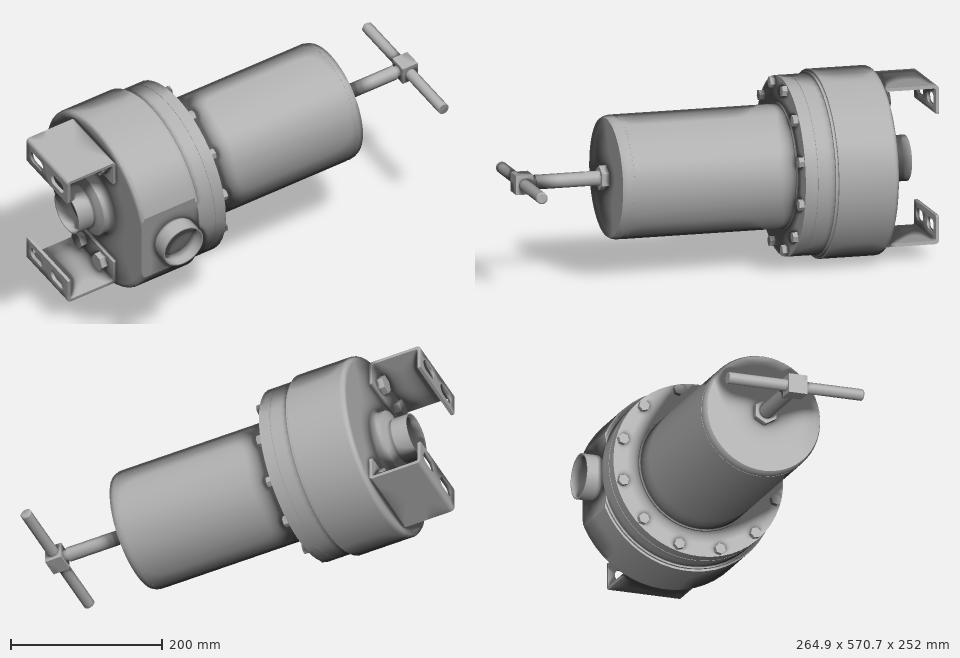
import cadquery as cq
import math


BODY_RADIUS = 126.0
BODY_LENGTH = 83.5
BODY_FRONT_ROUND = 6.5
BODY_FLAT_X = 114.6
LIP_RADIUS = 123.0
LIP_LENGTH = 3.5
FLANGE_RADIUS = 120.3
FLANGE_JOINT_Y = 111.5
FLANGE_JOINT_WIDTH = 1.2
FLANGE_JOINT_DEPTH = 0.5
FLANGE_BACK_Y = 128.0
TUBE_RADIUS = 82.7
TUBE_COLLAR_RADIUS = 85.0
TUBE_COLLAR_LENGTH = 2.6
TUBE_BACK_Y = 367.5
CAP_LENGTH = 10.0
CAP_BACK_RADIUS = 79.7
CAP_GROOVE_WIDTH = 5.0
CAP_GROOVE_DEPTH = 0.3

PORT_RADIUS = 30.7
PORT_BORE_RADIUS = 29.0
PORT_BORE_DEPTH = 22.0
PORT_NECK_RADIUS = 29.7
PORT_NECK_LENGTH = 2.5
FRONT_PORT_TIP_Y = -44.5
SIDE_PORT_TIP_X = 138.9
SIDE_PORT_Y = 50.1
BOSS_RADIUS = 44.5
BOSS_BASE_FILLET = 6.3
BOSS_LENGTH = 14.0
BOSS_CONE_LENGTH = 6.0

SCREW_COUNT = 12
SCREW_CIRCLE_RADIUS = 111.7
SCREW_ACROSS_FLATS = 13.0
SCREW_HEAD_HEIGHT = 7.0

BRACKET_WIDTH = 102.0
BRACKET_DEPTH = 75.6
BRACKET_THICKNESS = 4.5
BRACKET_OUTER_Z = 107.7
BRACKET_INNER_Z = 69.0
BRACKET_OUTER_BEND_RADIUS = 5.5
BRACKET_INNER_BEND_RADIUS = 2.5
BRACKET_CORNER_RADIUS = 2.0
SLOT_LENGTH = 32.0
SLOT_WIDTH = 16.5
SLOT_X = 25.4
SLOT_Z = 85.8
BOLT_ACROSS_FLATS = 22.0
BOLT_HEAD_HEIGHT = 9.0

SPINDLE_RADIUS = 9.8
NUT_ACROSS_FLATS = 29.0
NUT_HEIGHT = 10.0
OVERALL_LENGTH = 570.74
HANDLE_BACK_Y = OVERALL_LENGTH - BRACKET_DEPTH
BLOCK_SIZE = 26.0
BLOCK_LENGTH = 23.5
NECK_RADIUS = 8.0
NECK_LENGTH = 5.5
BAR_RADIUS = 7.8
BAR_LENGTH = 191.0
BAR_CHAMFER = 1.5


def cylinder_y(radius, start_y, end_y):
    """Cylinder on the main axis between two Y positions."""
    return cq.Workplane("XZ", origin=(0, start_y, 0)).circle(radius).extrude(start_y - end_y)


def hexagon_y(across_flats, start_y, end_y, x=0.0, z=0.0, turn=0.0):
    """Hexagonal prism along Y; with no turn, two corners point along X."""
    across_corners = across_flats / math.cos(math.pi / 6)
    prism = cq.Workplane("XZ").polygon(6, across_corners).extrude(start_y - end_y)
    return prism.rotate((0, 0, 0), (0, 1, 0), turn).translate((x, start_y, z))


def make_flange(front_y):
    """Two flange discs that meet at a shallow joint groove."""
    groove_front_y = FLANGE_JOINT_Y - FLANGE_JOINT_WIDTH / 2
    groove_back_y = FLANGE_JOINT_Y + FLANGE_JOINT_WIDTH / 2
    core = cylinder_y(FLANGE_RADIUS - FLANGE_JOINT_DEPTH, front_y, FLANGE_BACK_Y)
    front_disc = cylinder_y(FLANGE_RADIUS, front_y, groove_front_y)
    back_disc = cylinder_y(FLANGE_RADIUS, groove_back_y, FLANGE_BACK_Y)
    return core.union(front_disc).union(back_disc)


def make_body():
    """Round body with a rear lip and a flat at +X, and the flange behind it."""
    body = cylinder_y(BODY_RADIUS, 0, BODY_LENGTH).faces("<Y").edges().fillet(BODY_FRONT_ROUND)
    lip_back_y = BODY_LENGTH + LIP_LENGTH
    body = body.union(cylinder_y(LIP_RADIUS, BODY_LENGTH, lip_back_y))
    cutter = cq.Workplane("XY").box(BODY_RADIUS, lip_back_y, 2 * BODY_RADIUS, centered=(False, False, True))
    body = body.cut(cutter.translate((BODY_FLAT_X, 0, 0)))
    return body.union(make_flange(lip_back_y))


def make_tube():
    """Tube with a low collar at the flange and a round-shouldered cap behind a shallow groove."""
    cap_front_y = TUBE_BACK_Y - CAP_LENGTH
    groove_front_y = cap_front_y - CAP_GROOVE_WIDTH
    collar_back_y = FLANGE_BACK_Y + TUBE_COLLAR_LENGTH
    cap_round_depth = TUBE_RADIUS - CAP_BACK_RADIUS
    cap_round_radius = (CAP_LENGTH**2 + cap_round_depth**2) / (2 * cap_round_depth)
    groove_radius = TUBE_RADIUS - CAP_GROOVE_DEPTH
    profile = (
        cq.Workplane("XY")
        .moveTo(0, FLANGE_BACK_Y)
        .lineTo(TUBE_COLLAR_RADIUS, FLANGE_BACK_Y)
        .lineTo(TUBE_COLLAR_RADIUS, collar_back_y)
        .lineTo(TUBE_RADIUS, collar_back_y)
        .lineTo(TUBE_RADIUS, groove_front_y)
        .lineTo(groove_radius, groove_front_y)
        .lineTo(groove_radius, cap_front_y)
        .lineTo(TUBE_RADIUS, cap_front_y)
        .radiusArc((CAP_BACK_RADIUS, TUBE_BACK_Y), -cap_round_radius)
        .lineTo(0, TUBE_BACK_Y)
        .close()
    )
    return profile.revolve(360, (0, 0, 0), (0, 1, 0))


def make_front_boss():
    """Boss on the front face that tapers to the neck of a blind-bored port tube."""
    cone_end_y = -BOSS_LENGTH - BOSS_CONE_LENGTH
    profile = (
        cq.Workplane("XY")
        .moveTo(0, 0)
        .lineTo(BOSS_RADIUS + BOSS_BASE_FILLET, 0)
        .radiusArc((BOSS_RADIUS, -BOSS_BASE_FILLET), -BOSS_BASE_FILLET)
        .lineTo(BOSS_RADIUS, -BOSS_LENGTH)
        .lineTo(PORT_NECK_RADIUS, cone_end_y)
        .lineTo(PORT_NECK_RADIUS, cone_end_y - PORT_NECK_LENGTH)
        .lineTo(PORT_RADIUS, cone_end_y - PORT_NECK_LENGTH)
        .lineTo(PORT_RADIUS, FRONT_PORT_TIP_Y)
        .lineTo(0, FRONT_PORT_TIP_Y)
        .close()
    )
    boss = profile.revolve(360, (0, 0, 0), (0, 1, 0))
    return boss.cut(cylinder_y(PORT_BORE_RADIUS, FRONT_PORT_TIP_Y, FRONT_PORT_TIP_Y + PORT_BORE_DEPTH))


def make_side_port():
    """Tube on the body flat; a slightly narrower neck sits between the flat and the tube."""
    neck_end_x = BODY_FLAT_X + PORT_NECK_LENGTH
    neck = cq.Workplane("YZ", origin=(BODY_FLAT_X, SIDE_PORT_Y, 0)).circle(PORT_NECK_RADIUS)
    tube = cq.Workplane("YZ", origin=(neck_end_x, SIDE_PORT_Y, 0)).circle(PORT_RADIUS)
    bore = cq.Workplane("YZ", origin=(SIDE_PORT_TIP_X, SIDE_PORT_Y, 0)).circle(PORT_BORE_RADIUS)
    port = neck.extrude(PORT_NECK_LENGTH).union(tube.extrude(SIDE_PORT_TIP_X - neck_end_x))
    return port.cut(bore.extrude(-PORT_BORE_DEPTH))


def make_flange_screws():
    """Ring of hexagonal screw heads on the back of the flange."""
    screws = cq.Workplane("XY")
    pitch = 360 / SCREW_COUNT
    head = hexagon_y(
        SCREW_ACROSS_FLATS, FLANGE_BACK_Y, FLANGE_BACK_Y + SCREW_HEAD_HEIGHT, x=SCREW_CIRCLE_RADIUS
    )
    for index in range(SCREW_COUNT):
        screws = screws.union(head.rotate((0, 0, 0), (0, 1, 0), (index + 0.5) * pitch))
    return screws


def make_upper_bracket():
    """C-shaped bracket with its bolts, on the +Z side."""
    height = BRACKET_OUTER_Z - BRACKET_INNER_Z
    bracket = (
        cq.Workplane("XY")
        .box(BRACKET_WIDTH, BRACKET_DEPTH, height, centered=(True, False, False))
        .edges("|X and >Z")
        .fillet(BRACKET_OUTER_BEND_RADIUS)
    )
    bracket = bracket.edges("|Y and <Z").fillet(BRACKET_CORNER_RADIUS)
    inner_depth = BRACKET_DEPTH - 2 * BRACKET_THICKNESS
    inner = (
        cq.Workplane("XY", origin=(0, BRACKET_THICKNESS, 0))
        .box(BRACKET_WIDTH, inner_depth, height - BRACKET_THICKNESS, centered=(True, False, False))
        .edges("|X and >Z")
        .fillet(BRACKET_INNER_BEND_RADIUS)
    )
    slots = (
        cq.Workplane("XZ", origin=(0, 0, SLOT_Z - BRACKET_INNER_Z))
        .pushPoints([(-SLOT_X, 0), (SLOT_X, 0)])
        .slot2D(SLOT_LENGTH, SLOT_WIDTH)
        .extrude(-BRACKET_THICKNESS)
    )
    bracket = bracket.cut(inner).cut(slots).translate((0, -BRACKET_DEPTH, BRACKET_INNER_Z))
    head_front_y = -BRACKET_THICKNESS - BOLT_HEAD_HEIGHT
    for x in (-SLOT_X, SLOT_X):
        bracket = bracket.union(hexagon_y(BOLT_ACROSS_FLATS, head_front_y, 0, x=x, z=SLOT_Z))
    return bracket


def make_handle():
    """Spindle with its lock nut, and a square block that carries the cross bar."""
    block_front_y = HANDLE_BACK_Y - BLOCK_LENGTH
    spindle_back_y = block_front_y - NECK_LENGTH
    block_center_y = HANDLE_BACK_Y - BLOCK_LENGTH / 2
    nut = hexagon_y(NUT_ACROSS_FLATS, TUBE_BACK_Y, TUBE_BACK_Y + NUT_HEIGHT, turn=90)
    spindle = cylinder_y(SPINDLE_RADIUS, TUBE_BACK_Y, spindle_back_y)
    neck = cylinder_y(NECK_RADIUS, spindle_back_y, block_front_y)
    block = cq.Workplane("XY").box(BLOCK_SIZE, BLOCK_LENGTH, BLOCK_SIZE).translate((0, block_center_y, 0))
    bar = (
        cq.Workplane("YZ", origin=(-BAR_LENGTH / 2, block_center_y, 0))
        .circle(BAR_RADIUS)
        .extrude(BAR_LENGTH)
        .faces("<X")
        .chamfer(BAR_CHAMFER)
    )
    return nut.union(spindle).union(neck).union(block).union(bar)


upper_bracket = make_upper_bracket()
result = (
    make_body()
    .union(make_tube())
    .union(make_front_boss())
    .union(make_side_port())
    .union(make_flange_screws())
    .union(upper_bracket)
    .union(upper_bracket.mirror("XY"))
    .union(make_handle())
)